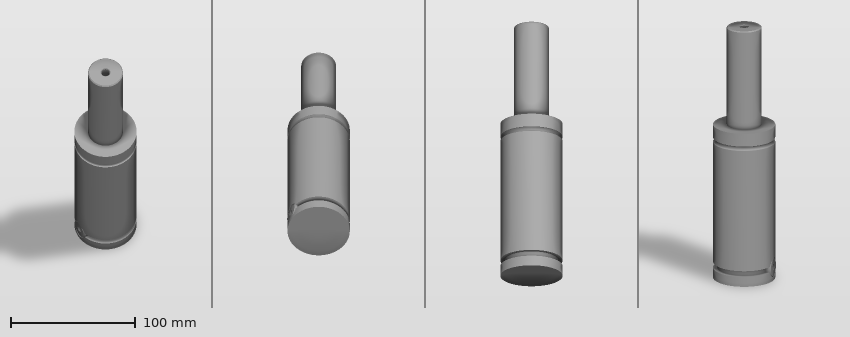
import cadquery as cq
import math

total_height = 212.0
body_diameter = 50.0
body_height = 129.3
body_radius = body_diameter / 2

rod_diameter = 28.0
rod_chamfer = 0.8
rod_hole_diameter = 6.8
rod_hole_mouth_diameter = 8.0
rod_hole_depth = 12.7
drill_tip_angle = 118.0

lower_groove_bottom = 8.3
lower_groove_width = 4.9
lower_groove_radius = 21.6

upper_groove_top = 118.5
upper_groove_width = 3.8
upper_groove_depth = upper_groove_width / 2

plug_height = 10.5
plug_diameter = 16.0
plug_face_diameter = 14.0
plug_chamfer = (plug_diameter - plug_face_diameter) / 2
plug_face_offset = 24.5
plug_root_offset = 17.0
plug_hole_diameter = 5.0
plug_hole_depth = 4.2


def make_body():
    return cq.Workplane("XY").circle(body_radius).extrude(body_height)


def make_rod():
    rod = cq.Workplane("XY").workplane(offset=body_height).circle(rod_diameter / 2)
    return rod.extrude(total_height - body_height).faces(">Z").chamfer(rod_chamfer)


def cut_rod_hole(part):
    mouth_chamfer = (rod_hole_mouth_diameter - rod_hole_diameter) / 2
    mouth = cq.Workplane("XY").add(
        cq.Solid.makeCone(
            rod_hole_diameter / 2,
            rod_hole_mouth_diameter / 2,
            mouth_chamfer,
            pnt=cq.Vector(0, 0, total_height - mouth_chamfer),
        )
    )
    tip_radius = rod_hole_diameter / 2
    tip_depth = tip_radius / math.tan(math.radians(drill_tip_angle / 2))
    drill = (
        cq.Workplane("XZ")
        .moveTo(0, total_height)
        .lineTo(tip_radius, total_height)
        .lineTo(tip_radius, total_height - rod_hole_depth)
        .lineTo(0, total_height - rod_hole_depth - tip_depth)
        .close()
        .revolve(360, (0, 0, 0), (0, 1, 0))
    )
    return part.cut(drill).cut(mouth)


def cut_lower_groove(part):
    ring = (
        cq.Workplane("XY")
        .workplane(offset=lower_groove_bottom)
        .circle(body_diameter)
        .circle(lower_groove_radius)
        .extrude(lower_groove_width)
    )
    return part.cut(ring)


def cut_upper_groove(part):
    upper_groove_bottom = upper_groove_top - upper_groove_width
    ring = (
        cq.Workplane("XZ")
        .moveTo(body_radius, upper_groove_bottom)
        .threePointArc(
            (body_radius - upper_groove_depth, (upper_groove_bottom + upper_groove_top) / 2),
            (body_radius, upper_groove_top),
        )
        .close()
        .revolve(360, (0, 0, 0), (0, 1, 0))
    )
    return part.cut(ring)


def cylinder_from_plug_side(diameter, start, end):
    """Cylinder along Y at plug height, between two distances on the -Y side."""
    profile = cq.Workplane("XZ", origin=(0, -start, plug_height)).circle(diameter / 2)
    return profile.extrude(end - start)


def fit_plug(part):
    bore = cylinder_from_plug_side(plug_diameter, plug_root_offset, body_diameter)
    plug = cylinder_from_plug_side(plug_diameter, plug_root_offset, plug_face_offset)
    plug = plug.faces("<Y").chamfer(plug_chamfer)
    hole = cylinder_from_plug_side(
        plug_hole_diameter, plug_face_offset - plug_hole_depth, plug_face_offset
    )
    return part.cut(bore).union(plug).cut(hole)


result = make_body().union(make_rod())
result = cut_rod_hole(result)
result = cut_lower_groove(result)
result = cut_upper_groove(result)
result = fit_plug(result)